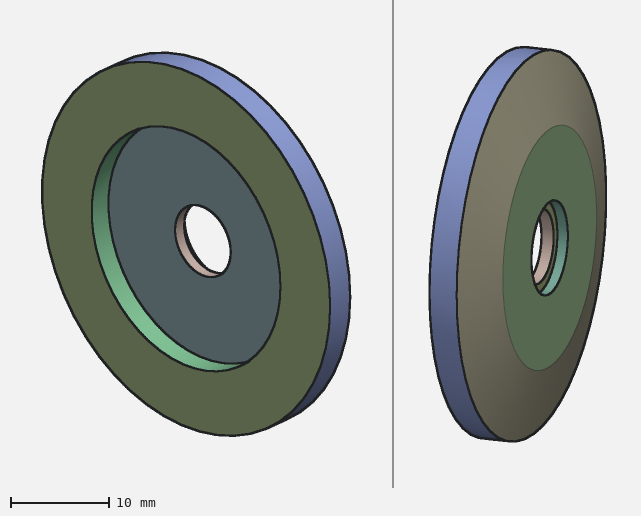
import math

import cadquery as cq

outer_diameter = 40.0
thickness = 5.0
rim_thickness = 3.0
cone_angle = 15.0
recess_diameter = 26.2
recess_depth = 2.5
bore_diameter = 7.7
counterbore_diameter = 9.7
counterbore_depth = 1.15

outer_radius = outer_diameter / 2
front_y = -thickness / 2
back_y = front_y + thickness
rim_back_y = front_y + rim_thickness
cone_height = thickness - rim_thickness
back_face_radius = outer_radius - cone_height / math.tan(math.radians(cone_angle))


def washer_body():
    """Solid disc with a cylindrical rim and a conical back."""
    half_section = (
        cq.Workplane("XY")
        .moveTo(0, front_y)
        .lineTo(outer_radius, front_y)
        .lineTo(outer_radius, rim_back_y)
        .lineTo(back_face_radius, back_y)
        .lineTo(0, back_y)
        .close()
    )
    return half_section.revolve(360, (0, 0, 0), (0, 1, 0))


def axial_cylinder(diameter, start_y, length):
    """Cylinder on the Y axis running from start_y toward +Y."""
    start_plane = cq.Workplane("XZ", origin=(0, start_y, 0))
    return start_plane.circle(diameter / 2).extrude(-length)


front_recess = axial_cylinder(recess_diameter, front_y, recess_depth)
bore = axial_cylinder(bore_diameter, front_y, thickness)
back_counterbore = axial_cylinder(counterbore_diameter, back_y - counterbore_depth, counterbore_depth)

result = washer_body().cut(front_recess).cut(bore).cut(back_counterbore)